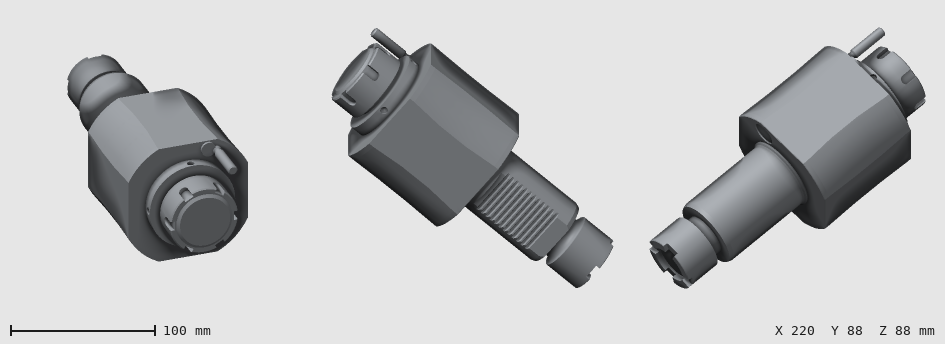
import cadquery as cq
import math


collar_radius = 21.0
collar_end = 26.6
lug_chamfer = 0.5
lug_length = 3.3
lug_bore_radius = 14.0
lug_bore_depth = 4.8
lug_gap_angle = 30
lug_count = 4

neck_radius = 15.6
shank_start = 34.8
shank_radius = 25.0
shank_chamfer_length = 3.0
shank_chamfer_depth = 1.0
tooth_flat_depth = 20.2
tooth_flat_end = 97.5
gap_count = 12
first_gap = 48.2
last_gap = 92.2
gap_pitch = (last_gap - first_gap) / (gap_count - 1)
gap_depth = 2.0
gap_mouth_width = 2.9
gap_root_width = 1.3

flare_start = 102.3
ring_start = 103.7
ring_inner_radius = 25.8
ring_radius = 26.9
ring_chamfer = 0.9

body_start = 105.9
body_end = 186.5
body_width = 88
body_radius = 49.0
waist_radius = 48.2
land_length = 4.0
body_edge_chamfer = 0.5
recess_radius = 8.5
recess_y = 18.5
recess_z = 32.1
recess_depth = 1.0

flange_end = 195.2
flange_radius = 31.5
flange_hole_x = 191.5
flange_hole_radius = 2.6
flange_hole_depth = 2.6
flange_hole_tip = 1.5
flange_hole_count = 4

spindle_radius = 20.0
nut_start = 197.6
nut_radius = 25.0
nut_back_chamfer = 0.7
nut_front_chamfer = 0.9
nut_rim_end = 218.5
nose_base_radius = 20.7
nose_radius = 18.5
part_length = 220
nut_slot_count = 6
nut_slot_start = 207.1
nut_slot_width = 6.8
nut_slot_floor = 21.8

pin_y = 21.0
pin_z = 35.7
pin_radius = 3.5
pin_neck_radius = 2.6
pin_seat_radius = 3.3
pin_seat_length = 2.5
pin_start = 191.7
pin_end = 219.2
pin_chamfer = 0.9
screw_y = 14.5
screw_z = 37.9
screw_radius = 5.3
screw_height = 1.8


def disc(x_start, x_end, radius, y=0, z=0):
    """Solid cylinder along X."""
    plane = cq.Plane(origin=(x_start, y, z), xDir=(0, 1, 0), normal=(1, 0, 0))
    return cq.Workplane(plane).circle(radius).extrude(x_end - x_start)


def revolve_about_x(profile):
    """Revolve a closed XY outline once around the X axis."""
    return profile.close().revolve(360, (0, 0, 0), (1, 0, 0))


def turn(shape, angle):
    return shape.rotate((0, 0, 0), (1, 0, 0), angle)


def make_collar_and_neck():
    cove_radius = collar_radius - neck_radius
    cove_end = collar_end + cove_radius
    arc_offset = cove_radius * math.sqrt(0.5)
    profile = (
        cq.Workplane("XY")
        .moveTo(0, 0)
        .lineTo(0, collar_radius - lug_chamfer)
        .lineTo(lug_chamfer, collar_radius)
        .lineTo(collar_end, collar_radius)
        .threePointArc((cove_end - arc_offset, collar_radius - arc_offset), (cove_end, neck_radius))
        .lineTo(shank_start, neck_radius)
        .lineTo(shank_start, 0)
    )
    collar = revolve_about_x(profile)

    reach = 2 * collar_radius
    half_opening = reach * math.tan(math.radians(lug_gap_angle / 2))
    wedge = (
        cq.Workplane("YZ")
        .polyline([(0, 0), (reach, -half_opening), (reach, half_opening)])
        .close()
        .extrude(lug_length)
    )
    for i in range(lug_count):
        collar = collar.cut(turn(wedge, i * 360 / lug_count))
    return collar.cut(disc(0, lug_bore_depth, lug_bore_radius))


def make_shank():
    profile = (
        cq.Workplane("XY")
        .moveTo(shank_start, 0)
        .lineTo(shank_start, shank_radius - shank_chamfer_depth)
        .lineTo(shank_start + shank_chamfer_length, shank_radius)
        .lineTo(flare_start, shank_radius)
        .lineTo(ring_start, ring_inner_radius)
        .lineTo(ring_start + ring_chamfer, ring_radius)
        .lineTo(body_start, ring_radius)
        .lineTo(body_start, 0)
    )
    shank = revolve_about_x(profile)

    flat_cut = cq.Workplane("XY").box(
        tooth_flat_end - shank_start, 2 * shank_radius, shank_radius, centered=(False, True, False)
    )
    shank = shank.cut(flat_cut.translate((shank_start, 0, -tooth_flat_depth - shank_radius)))
    gap = (
        cq.Workplane("XZ")
        .polyline([
            (-gap_mouth_width / 2, -tooth_flat_depth),
            (-gap_root_width / 2, gap_depth - tooth_flat_depth),
            (gap_root_width / 2, gap_depth - tooth_flat_depth),
            (gap_mouth_width / 2, -tooth_flat_depth),
        ])
        .close()
        .extrude(shank_radius, both=True)
    )
    for i in range(gap_count):
        shank = shank.cut(gap.translate((first_gap + i * gap_pitch, 0, 0)))
    return shank


def make_body():
    profile = (
        cq.Workplane("XY")
        .moveTo(body_start, 0)
        .lineTo(body_start, body_radius)
        .lineTo(body_start + land_length, body_radius)
        .threePointArc(
            ((body_start + body_end) / 2, waist_radius), (body_end - land_length, body_radius)
        )
        .lineTo(body_end, body_radius)
        .lineTo(body_end, 0)
    )
    flats = (
        cq.Workplane("YZ", origin=(body_start, 0, 0))
        .rect(body_width, body_width)
        .extrude(body_end - body_start)
    )
    body = revolve_about_x(profile).intersect(flats)
    body = body.faces("<X").chamfer(body_edge_chamfer)
    return body.cut(disc(body_start, body_start + recess_depth, recess_radius, recess_y, recess_z))


def make_flange():
    flange = disc(body_end, flange_end, flange_radius)
    hole_floor = flange_radius - flange_hole_depth
    hole = (
        cq.Workplane("XZ")
        .polyline([
            (0, hole_floor - flange_hole_tip),
            (flange_hole_radius, hole_floor),
            (flange_hole_radius, flange_radius + flange_hole_depth),
            (0, flange_radius + flange_hole_depth),
        ])
        .close()
        .revolve(360, (0, 0, 0), (0, 1, 0))
        .translate((flange_hole_x, 0, 0))
    )
    for i in range(flange_hole_count):
        flange = flange.cut(turn(hole, i * 360 / flange_hole_count))
    return flange


def make_nut():
    profile = (
        cq.Workplane("XY")
        .moveTo(flange_end, 0)
        .lineTo(flange_end, spindle_radius)
        .lineTo(nut_start, spindle_radius)
        .lineTo(nut_start, nut_radius - nut_back_chamfer)
        .lineTo(nut_start + nut_back_chamfer, nut_radius)
        .lineTo(nut_rim_end - nut_front_chamfer, nut_radius)
        .lineTo(nut_rim_end, nut_radius - nut_front_chamfer)
        .lineTo(nut_rim_end, nose_base_radius)
        .lineTo(part_length, nose_radius)
        .lineTo(part_length, 0)
    )
    nut = revolve_about_x(profile)

    half_width = nut_slot_width / 2
    arc_centre = nut_slot_start + half_width
    slot = (
        cq.Workplane("XZ", origin=(0, -nut_slot_floor, 0))
        .moveTo(part_length, -half_width)
        .lineTo(arc_centre, -half_width)
        .threePointArc((nut_slot_start, 0), (arc_centre, half_width))
        .lineTo(part_length, half_width)
        .close()
        .extrude(nut_radius - nut_slot_floor)
    )
    for i in range(nut_slot_count):
        nut = nut.cut(turn(slot, i * 360 / nut_slot_count))
    return nut


def make_pin_and_screw():
    neck = disc(body_end, pin_start, pin_neck_radius, pin_y, pin_z)
    pin = disc(pin_start, pin_end, pin_radius, pin_y, pin_z).faces("<X or >X").chamfer(pin_chamfer)
    seat = disc(body_end, body_end + pin_seat_length, pin_seat_radius, pin_y, pin_z)
    seat = seat.faces(">X").chamfer(pin_seat_radius - pin_neck_radius)
    screw = disc(body_end, body_end + screw_height, screw_radius, screw_y, screw_z)
    return neck.union(pin).union(seat).union(screw)


result = (
    make_collar_and_neck()
    .union(make_shank())
    .union(make_body())
    .union(make_flange())
    .union(make_nut())
    .union(make_pin_and_screw())
)